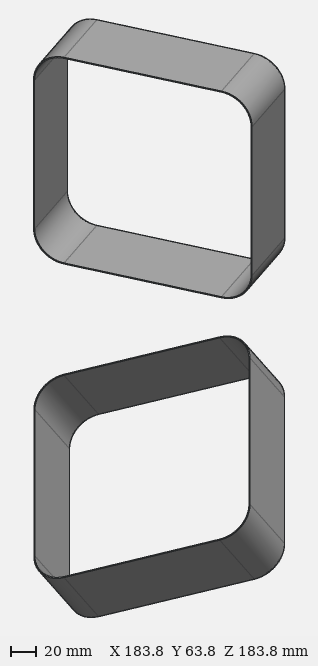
import cadquery as cq

side = 183.8
depth = 63.8
corner_radius = 25.7
wall = 1.0


def rounded_block(block_side, radius):
    """Square block centred on the origin, with its edges along Y rounded."""
    return cq.Workplane("XY").box(block_side, depth, block_side).edges("|Y").fillet(radius)


outer = rounded_block(side, corner_radius)
opening = rounded_block(side - 2 * wall, corner_radius - wall)

result = outer.cut(opening)